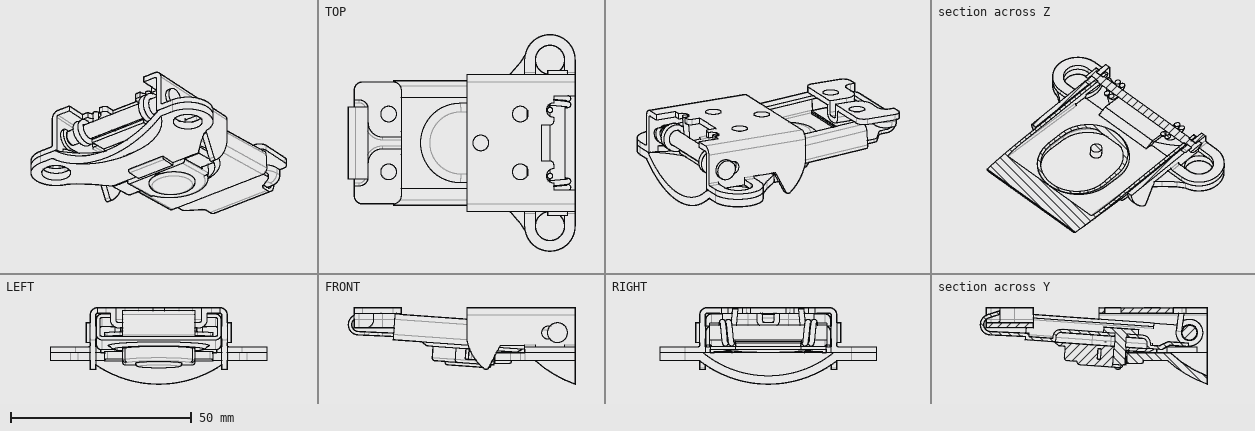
import cadquery as cq
import math


sheet = 1.6
handle_sheet = 1.0
screw_hole_dia = 4.35
screw_half_pitch = 8.0
screw_depth = 4.0

cover_length = 30.0
cover_half_width = 19.0
cover_bend_radius = 2.1
side_bottom_z = -10.44

eye_x = -7.0
eye_y = 23.0
eye_radius = 7.0
eye_hole_radius = 4.0
eye_top_z = -10.9
eye_bottom_z = eye_top_z - sheet
eye_bend_radius = 0.5

pin_x = -4.93
pin_z = -6.94
pin_radius = 2.1
pin_neck_radius = 1.8
pin_head_radius = 2.75
pin_head_height = 1.1
pin_slot_x = -7.5

handle_tilt = 4.1


def box(x0, x1, y0, y1, z0, z1):
    """Block between two opposite corners."""
    return cq.Workplane("XY").box(x1 - x0, y1 - y0, z1 - z0, centered=False).translate((x0, y0, z0))


def cylinder(x, y, radius, z0, z1):
    """Upright cylinder between two heights."""
    return cq.Workplane("XY", origin=(x, y, z0)).circle(radius).extrude(z1 - z0)


def cross_cylinder(x, z, radius, half_length):
    """Cylinder along Y, centred on the plane of symmetry."""
    return cq.Workplane("XZ", origin=(x, half_length, z)).circle(radius).extrude(2 * half_length)


def mirrored(body):
    """Body joined with its mirror image across the plane of symmetry."""
    return body.union(body.mirror("XZ"))


def tilted(body):
    """Move a body from the handle frame (origin on the pin axis) to its tilted place."""
    return body.rotate((0, 0, 0), (0, 1, 0), handle_tilt).translate((pin_x, 0, pin_z))


fang_tip_z = -17.55
fang_tip_x = -24.45
fang_start_z = -9.0
fang_bulge = (-28.2, -13.6)
fang_rear_x = -20.7
fang_tip_radius = 0.8

window_x = -5.95
window_half_width = 13.0
relief_y = 9.1
relief_radius = 2.0
notch_x = -9.4
notch_half_width = 4.95
notch_corner_radius = 1.1

cover_screws = [(-26.15, 0), (-15.2, screw_half_pitch), (-15.2, -screw_half_pitch)]


def make_eye():
    """Slotted eye turned outward at the foot of the +Y side wall."""
    front_x = eye_x - eye_radius
    rear_x = eye_x + eye_radius
    eye = box(front_x, rear_x, cover_half_width, eye_y, eye_bottom_z, eye_top_z)
    eye = eye.union(cylinder(eye_x, eye_y, eye_radius, eye_bottom_z, eye_top_z))
    bend = (
        cq.Workplane("YZ", origin=(eye_x, 0, 0))
        .moveTo(cover_half_width, eye_top_z)
        .lineTo(cover_half_width + eye_bend_radius, eye_top_z)
        .radiusArc((cover_half_width, eye_top_z + eye_bend_radius), eye_bend_radius)
        .close()
        .extrude(eye_radius, both=True)
    )
    slot = box(eye_x - eye_hole_radius, eye_x + eye_hole_radius, cover_half_width, eye_y,
               eye_bottom_z, eye_top_z + eye_bend_radius)
    slot = slot.union(cylinder(eye_x, eye_y, eye_hole_radius, eye_bottom_z, eye_top_z))
    return eye.union(bend).cut(slot)


def make_side_outline():
    """Side wall profile in XZ, extruded across the whole width."""
    side = (
        cq.Workplane("XZ")
        .moveTo(-cover_length, 0)
        .lineTo(-cover_length, fang_start_z)
        .threePointArc(fang_bulge, (fang_tip_x, fang_tip_z))
        .lineTo(fang_rear_x, side_bottom_z)
        .lineTo(eye_x - eye_radius, side_bottom_z)
        .lineTo(eye_x - eye_radius, eye_bottom_z)
        .lineTo(0, eye_bottom_z)
        .lineTo(0, 0)
        .close()
        .extrude(cover_half_width, both=True)
    )
    return side.edges("|Y and <Z").fillet(fang_tip_radius)


def make_spring_window():
    notch = (
        cq.Workplane("XY", origin=(0, 0, -sheet))
        .moveTo(0, -window_half_width)
        .lineTo(window_x, -window_half_width)
        .lineTo(window_x, -notch_half_width - notch_corner_radius)
        .radiusArc((window_x - notch_corner_radius, -notch_half_width), -notch_corner_radius)
        .lineTo(notch_x, -notch_half_width)
        .lineTo(notch_x, notch_half_width)
        .lineTo(window_x - notch_corner_radius, notch_half_width)
        .radiusArc((window_x, notch_half_width + notch_corner_radius), -notch_corner_radius)
        .lineTo(window_x, window_half_width)
        .lineTo(0, window_half_width)
        .close()
        .extrude(sheet)
    )
    for y in (-relief_y, relief_y):
        notch = notch.union(cylinder(window_x, y, relief_radius, -sheet, 0))
    return notch


def make_cover():
    inner = cover_half_width - sheet
    depth = -fang_tip_z
    outer = box(-cover_length, 0, -cover_half_width, cover_half_width, -depth, 0)
    outer = outer.edges("|X and >Z").fillet(cover_bend_radius)
    cavity = box(-cover_length, 0, -inner, inner, -depth, -sheet)
    cavity = cavity.edges("|X and >Z").fillet(cover_bend_radius - sheet)
    cover = outer.cut(cavity).intersect(make_side_outline())
    cover = cover.union(make_eye()).union(make_eye().mirror("XZ"))
    cover = cover.cut(make_spring_window())
    for x, y in cover_screws:
        cover = cover.cut(cylinder(x, y, screw_hole_dia / 2, -screw_depth, 0))
    pin_slot = cross_cylinder(pin_slot_x, pin_z, pin_neck_radius, cover_half_width)
    pin_slot = pin_slot.union(cross_cylinder(pin_x, pin_z, pin_neck_radius, cover_half_width))
    pin_slot = pin_slot.union(box(pin_slot_x, pin_x, -cover_half_width, cover_half_width,
                                  pin_z - pin_neck_radius, pin_z + pin_neck_radius))
    return cover.cut(pin_slot)


base_thickness = 2.2
base_top_z = eye_bottom_z
base_bottom_z = base_top_z - base_thickness
base_front_x = -22.25
base_front_half_width = 15.0
base_neck = [(-13.85, 24.4), (-15.2, 22.3), (-17.9, 19.2)]
dome_bottom_z = -21.25
dome_center_x = 10.8
dome_end_radius = 31.0
dome_radius = math.hypot(dome_center_x, dome_end_radius)
dome_center_z = dome_bottom_z + dome_end_radius
pad_rear_x = -17.7
pad_half_width = 6.0
pad_height = 0.8
pad_edge_radius = 0.6


def make_dome_sphere(radius):
    return cq.Workplane("XY").sphere(radius).translate((dome_center_x, 0, dome_center_z))


def make_base():
    front = [(base_front_x, base_front_half_width), (base_front_x, 0)]
    half = (
        cq.Workplane("XY", origin=(0, 0, base_bottom_z))
        .polyline([(0, 0), (0, eye_y), (eye_x, eye_y)] + base_neck + front)
        .close()
        .extrude(base_thickness)
        .union(cylinder(eye_x, eye_y, eye_radius, base_bottom_z, base_top_z))
        .cut(cylinder(eye_x, eye_y, eye_hole_radius, base_bottom_z, base_top_z))
    )
    below_plate = box(eye_x - 2 * eye_radius, 0, -eye_y, eye_y, dome_bottom_z, base_bottom_z)
    dome = make_dome_sphere(dome_radius).intersect(below_plate)
    pad = box(base_front_x, pad_rear_x, -pad_half_width, pad_half_width,
              base_bottom_z - pad_height, base_bottom_z)
    pad = pad.edges("<Z and >X").fillet(pad_edge_radius)
    base = mirrored(half).union(dome).union(pad)
    return base.cut(make_dome_sphere(dome_radius - base_thickness))


keeper_front_x = -61.2
keeper_rear_x = -48.15
keeper_half_width = 16.9
keeper_corner_radius = 2.3
keeper_bottom_z = -5.65
keeper_wall = 1.5
recess_rear_x = -57.3
mouth_half_width = 11.9
mouth_corner_radius = 2.5
throat_half_width = 1.65
throat_radius = 3.9
keeper_screw_x = -51.66
recess_floor_radius = 0.8


def make_channel(offset, z_bottom, bottom_radius):
    """Channel volume below Z = 0: a wide mouth that flares down to a narrow throat."""
    mouth_y = mouth_half_width + offset
    throat_y = throat_half_width + offset
    corner_r = mouth_corner_radius + offset
    flare_r = throat_radius - offset
    x = recess_rear_x + offset
    outline = (
        cq.Workplane("XY")
        .moveTo(keeper_front_x, -mouth_y)
        .lineTo(x - corner_r, -mouth_y)
        .radiusArc((x, -mouth_y + corner_r), -corner_r)
        .lineTo(x, -throat_y - flare_r)
        .radiusArc((x + flare_r, -throat_y), flare_r)
        .lineTo(keeper_rear_x, -throat_y)
        .lineTo(keeper_rear_x, throat_y)
        .lineTo(x + flare_r, throat_y)
        .radiusArc((x, throat_y + flare_r), flare_r)
        .lineTo(x, mouth_y - corner_r)
        .radiusArc((x - corner_r, mouth_y), -corner_r)
        .lineTo(keeper_front_x, mouth_y)
        .close()
        .extrude(z_bottom)
    )
    return outline.edges("<Z").edges("not(<X or >X)").fillet(bottom_radius)


def make_keeper():
    plate = box(keeper_front_x, keeper_rear_x, -keeper_half_width, keeper_half_width, -sheet, 0)
    plate = plate.edges("|Z").fillet(keeper_corner_radius)
    tray = make_channel(keeper_wall, keeper_bottom_z, recess_floor_radius + keeper_wall)
    recess = make_channel(0, keeper_bottom_z + keeper_wall, recess_floor_radius)
    keeper = plate.union(tray).cut(recess)
    for y in (-screw_half_pitch, screw_half_pitch):
        keeper = keeper.cut(cylinder(keeper_screw_x, y, screw_hole_dia / 2, -screw_depth, 0))
    return keeper


handle_half_width = 17.25
handle_bottom = -5.25
handle_top = 1.95
handle_front = -45.2
floor_rear = -7.2
lip_half_gap = 12.6
lip_rear = -10.0
handle_bend_radius = 1.5
wall_end_radius = 3.4

boss_front_center = -26.7
boss_rear_center = -21.5
boss_radius = 11.0
boss_height = 2.7
boss_edge_radius = 2.4

bridge_half_width = 9.0
bridge_rise_run = 2.0

rivet_center = -18.9
rivet_shank_radius = 1.6


def make_boss(wall, base_height):
    """Racetrack boss rising from a given height, shrunk all round by a wall thickness."""
    length = boss_rear_center - boss_front_center
    radius = boss_radius - wall
    boss = (
        cq.Workplane("XY", origin=((boss_front_center + boss_rear_center) / 2, 0, base_height))
        .slot2D(length + 2 * radius, 2 * radius)
        .extrude(boss_height)
    )
    return boss.faces(">Z").edges().fillet(boss_edge_radius - wall)


def make_handle_channel():
    inner = handle_half_width - handle_sheet
    floor_top = handle_bottom + handle_sheet
    outer = box(handle_front, wall_end_radius, -handle_half_width, handle_half_width,
                handle_bottom, handle_top)
    outer = outer.edges("|X").fillet(handle_bend_radius)
    cavity = box(handle_front, wall_end_radius, -inner, inner, floor_top, handle_top - handle_sheet)
    cavity = cavity.edges("|X").fillet(handle_bend_radius - handle_sheet)
    mouth = box(handle_front, wall_end_radius, -lip_half_gap, lip_half_gap, floor_top, handle_top)
    lip_end = box(lip_rear, wall_end_radius, -inner, inner, floor_top, handle_top)
    profile = (
        cq.Workplane("XZ")
        .moveTo(handle_front, handle_bottom)
        .lineTo(floor_rear, handle_bottom)
        .lineTo(floor_rear + bridge_rise_run, -wall_end_radius)
        .lineTo(0, -wall_end_radius)
        .threePointArc((wall_end_radius, 0), (0, wall_end_radius))
        .lineTo(handle_front, wall_end_radius)
        .close()
        .extrude(handle_half_width, both=True)
    )
    return outer.cut(cavity).cut(mouth).cut(lip_end).intersect(profile)


def make_bridge():
    """Strip that rises from the rear of the floor and passes under the pin."""
    bridge_top = -wall_end_radius + handle_sheet / 2
    return (
        cq.Workplane("XZ")
        .moveTo(floor_rear - handle_sheet, handle_bottom)
        .lineTo(floor_rear, handle_bottom)
        .lineTo(floor_rear + bridge_rise_run, bridge_top - handle_sheet)
        .lineTo(0, bridge_top - handle_sheet)
        .lineTo(0, bridge_top)
        .lineTo(floor_rear + bridge_rise_run - handle_sheet / 2, bridge_top)
        .lineTo(floor_rear - handle_sheet, handle_bottom + handle_sheet)
        .close()
        .extrude(bridge_half_width, both=True)
    )


hook_half_width = 10.0
hook_center_x = -59.94
hook_center_z = -4.72
hook_radius = 2.9
hook_lip_angle = 18.0
hook_lip_x = -57.4
tongue_tilt = 2.6
tongue_rear_x = -49.3
tongue_half_width = 15.0
shoulder_rear_x = -54.2
shoulder_front_x = -57.5
shoulder_radius = 1.5


def hook_point(radius, angle):
    """Point on the hook's round, at an angle from its top turning toward the front."""
    a = math.radians(angle)
    return (hook_center_x - radius * math.sin(a), hook_center_z + radius * math.cos(a))


def make_hook():
    """Sheet strip: flat tongue, half-round hook and a lip rising toward the rear."""
    inner_radius = hook_radius - handle_sheet
    lip_slope = math.tan(math.radians(hook_lip_angle))
    tongue_slope = math.tan(math.radians(tongue_tilt))
    tongue_angle = 180 + tongue_tilt
    middle_angle = 90

    def lip_end(radius):
        x, z = hook_point(radius, hook_lip_angle)
        return (hook_lip_x, z + (hook_lip_x - x) * lip_slope)

    def tongue_end(radius):
        x, z = hook_point(radius, tongue_angle)
        return (tongue_rear_x, z - (tongue_rear_x - x) * tongue_slope)

    strip = (
        cq.Workplane("XZ")
        .moveTo(*lip_end(hook_radius))
        .lineTo(*hook_point(hook_radius, hook_lip_angle))
        .threePointArc(hook_point(hook_radius, middle_angle), hook_point(hook_radius, tongue_angle))
        .lineTo(*tongue_end(hook_radius))
        .lineTo(*tongue_end(inner_radius))
        .lineTo(*hook_point(inner_radius, tongue_angle))
        .threePointArc(hook_point(inner_radius, middle_angle), hook_point(inner_radius, hook_lip_angle))
        .lineTo(*lip_end(inner_radius))
        .close()
        .extrude(tongue_half_width, both=True)
    )
    overall_front_x = hook_center_x - hook_radius
    plan = mirrored(
        cq.Workplane("XY")
        .polyline([
            (tongue_rear_x, 0),
            (tongue_rear_x, tongue_half_width),
            (shoulder_rear_x, tongue_half_width),
            (shoulder_front_x, hook_half_width),
            (overall_front_x, hook_half_width),
            (overall_front_x, 0),
        ])
        .close()
        .extrude(2 * keeper_bottom_z - hook_center_z)
    ).translate((0, 0, hook_center_z))
    plan = plan.edges("|Z").edges("not(<X or >X)").fillet(shoulder_radius)
    lip_zone = box(overall_front_x, hook_lip_x, -hook_half_width, hook_half_width, hook_center_z, 0)
    return strip.intersect(plan.union(lip_zone))


def make_handle():
    floor_top = handle_bottom + handle_sheet
    step = box(handle_front, handle_front + handle_sheet, -tongue_half_width, tongue_half_width,
               handle_bottom, floor_top + handle_sheet / 2)
    handle = make_handle_channel().union(make_bridge()).union(step)
    handle = handle.union(make_boss(0, floor_top))
    handle = handle.cut(make_boss(handle_sheet, handle_bottom))
    handle = handle.cut(cross_cylinder(0, 0, pin_neck_radius, handle_half_width))
    handle = handle.cut(cylinder(rivet_center, 0, rivet_shank_radius,
                                 handle_bottom, floor_top + boss_height))
    return tilted(handle).union(make_hook())


flange_center = -23.3
flange_radius = 14.0
flange_depth = 1.0
flange_draft = 56.0
rotor_center = -24.1
rotor_radius = 10.0
rotor_top = handle_bottom - flange_depth
rotor_bottom = -10.2
rotor_edge_radius = 0.8
rotor_rear = -16.9
rotor_shoulder = -27.7
rotor_half_width = 10.0
arm_front = -24.1
arm_half_width = 15.0
arm_top = -6.95
arm_bottom = -9.1
rotor_button_radius = 6.4
rotor_button_bottom = -11.1
rotor_window_front = -24.9


def make_rotor():
    flange = (
        cq.Workplane("XY", origin=(flange_center, 0, handle_bottom))
        .circle(flange_radius)
        .extrude(-flange_depth, taper=flange_draft)
    )
    disc = cylinder(rotor_center, 0, rotor_radius, rotor_bottom, rotor_top)
    disc = disc.intersect(box(rotor_center - rotor_radius, rotor_rear, -rotor_radius, rotor_radius,
                              rotor_bottom, rotor_top))
    disc = disc.edges("<Z and %CIRCLE").fillet(rotor_edge_radius)
    middle = box(rotor_shoulder, rotor_rear, -rotor_half_width, rotor_half_width,
                 rotor_bottom, rotor_top)
    middle = middle.edges("<Z").edges("<X or <Y or >Y").fillet(rotor_edge_radius)
    arms = box(arm_front, rotor_rear, -arm_half_width, arm_half_width, arm_bottom, arm_top)
    arms = arms.edges("|Z and <X").fillet(rotor_edge_radius)
    button = cylinder(rotor_center, 0, rotor_button_radius, rotor_button_bottom, rotor_bottom)
    button = button.faces("<Z").edges().fillet(rotor_edge_radius)
    window = box(rotor_window_front, arm_front, -arm_half_width, arm_half_width,
                 arm_bottom, rotor_top)
    rotor = disc.union(middle).cut(window).union(arms).union(flange).union(button)
    rotor = rotor.cut(cylinder(rivet_center, 0, rivet_shank_radius, rotor_bottom, handle_bottom))
    return tilted(rotor)


rivet_head_radius = 4.9
rivet_head_height = 1.4
rivet_seat = handle_bottom + handle_sheet + boss_height


def make_rivet():
    head = cylinder(rivet_center, 0, rivet_head_radius, rivet_seat, rivet_seat + rivet_head_height)
    shank = cylinder(rivet_center, 0, rivet_shank_radius, rotor_bottom, rivet_seat)
    return tilted(head.union(shank))


def make_pin():
    body_half_length = handle_half_width - handle_sheet
    pin = cross_cylinder(pin_x, pin_z, pin_radius, body_half_length)
    pin = pin.union(cross_cylinder(pin_x, pin_z, pin_neck_radius, cover_half_width))
    heads = cross_cylinder(pin_x, pin_z, pin_head_radius, cover_half_width + pin_head_height)
    gap = cross_cylinder(pin_x, pin_z, 2 * pin_head_radius, cover_half_width)
    return pin.union(heads.cut(gap))


wire_radius = 0.75
coil_radius = 2.95
coil_pitch = 1.7
coil_turns = 1.9
coil_start_y = 9.7
leg_length = 6.3
leg_lean = 8.0


def make_spring():
    """Spring on the -Y side: an upright leg in front of the pin, then a coil going outward."""
    helix = cq.Wire.makeHelix(coil_pitch, coil_pitch * coil_turns, coil_radius)
    coil_start = cq.Vector(coil_radius, 0, 0)
    coil_direction = cq.Vector(0, 2 * math.pi * coil_radius, coil_pitch).normalized()
    leg_end = coil_start - coil_direction * leg_length
    leg = cq.Edge.makeLine(leg_end, coil_start)
    path = cq.Wire.assembleEdges([leg] + helix.Edges())
    section = cq.Workplane(cq.Plane(leg_end, (1, 0, 0), coil_direction)).circle(wire_radius)
    spring = section.sweep(path, isFrenet=True)
    spring = spring.rotate((0, 0, 0), (0, 0, 1), 180).rotate((0, 0, 0), (1, 0, 0), 90)
    spring = spring.rotate((0, 0, 0), (0, 1, 0), leg_lean)
    return spring.translate((pin_x, -coil_start_y, pin_z))


cover = make_cover()
base = make_base()
keeper = make_keeper()
handle = make_handle()
rotor = make_rotor()
rivet = make_rivet()
pin = make_pin()
near_spring = make_spring()
springs = [near_spring, near_spring.mirror("XZ")]

bodies = [cover, base, keeper, handle, rotor, rivet, pin] + springs
result = cq.Compound.makeCompound([body.solids().val() for body in bodies])